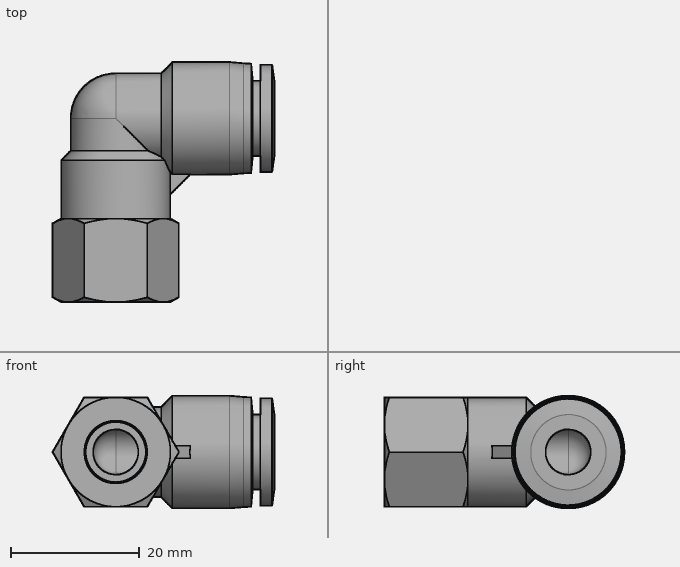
import cadquery as cq
import math


elbow_radius = 7.0
passage_radius = 3.5

collar_radius = 8.75
collar_start = 7.05
collar_cone = collar_radius - elbow_radius
taper_start = 17.62
rim_start = 19.75
rim_radius = 8.55
rim_end = 21.0
rim_end_radius = 8.5
collar_end = 21.27
neck_radius = 5.85
flange_start = 22.42
flange_radius = 8.35
flange_chamfer_start = 24.18
flange_chamfer = 0.1
tube_end = 24.62

hex_flats = 17.0
hex_corners = hex_flats / math.cos(math.radians(30))
sleeve_radius = hex_flats / 2
sleeve_start = 5.03
sleeve_cone = sleeve_radius - elbow_radius
hex_start = 15.55
thread_end = 28.5
hex_chamfer_angle = 30

socket_mouth_radius = 4.88
socket_end_radius = 4.65
socket_depth = 8.95

web_thickness = 1.95
web_reach = 11.5


def turned_tube_arm():
    """Collar, release neck and flange revolved about X; collar and flange end in shallow cones."""
    profile = [
        (0, 0),
        (0, elbow_radius),
        (collar_start, elbow_radius),
        (collar_start + collar_cone, collar_radius),
        (taper_start, collar_radius),
        (rim_start, rim_radius),
        (rim_end, rim_end_radius),
        (collar_end, neck_radius),
        (flange_start, neck_radius),
        (flange_start, flange_radius),
        (flange_chamfer_start, flange_radius),
        (flange_chamfer_start + flange_chamfer, flange_radius - flange_chamfer),
        (tube_end, neck_radius),
        (tube_end, 0),
    ]
    return cq.Workplane("XY").polyline(profile).close().revolve(360, (0, 0, 0), (1, 0, 0))


def revolve_about_y(profile):
    """Revolve (radius, distance along -Y) points about the Y axis."""
    points = [(radius, -distance) for radius, distance in profile]
    return cq.Workplane("XY").polyline(points).close().revolve(360, (0, 0, 0), (0, 1, 0))


def threaded_arm_sleeve():
    return revolve_about_y([
        (0, 0),
        (elbow_radius, 0),
        (elbow_radius, sleeve_start),
        (sleeve_radius, sleeve_start + sleeve_cone),
        (sleeve_radius, hex_start),
        (0, hex_start),
    ])


def hexagon():
    """Hexagon with corners on X, both ends trimmed by a shallow cone."""
    corner_radius = hex_corners / 2
    corner_drop = (corner_radius - sleeve_radius) * math.tan(math.radians(hex_chamfer_angle))
    prism = (
        cq.Workplane("XZ", origin=(0, -hex_start, 0))
        .polygon(6, hex_corners)
        .extrude(thread_end - hex_start)
    )
    envelope = revolve_about_y([
        (0, hex_start),
        (sleeve_radius, hex_start),
        (corner_radius, hex_start + corner_drop),
        (corner_radius, thread_end - corner_drop),
        (sleeve_radius, thread_end),
        (0, thread_end),
    ])
    return prism.intersect(envelope)


def corner_web():
    """45-degree triangular web, with its hidden corner buried inside both arms."""
    hypotenuse_sum = web_reach + collar_radius
    return (
        cq.Workplane("XY")
        .moveTo(elbow_radius, -elbow_radius)
        .lineTo(hypotenuse_sum - elbow_radius, -elbow_radius)
        .lineTo(elbow_radius, elbow_radius - hypotenuse_sum)
        .close()
        .extrude(web_thickness / 2, both=True)
    )


def flow_passage():
    """Round bores along both arms, joined by a ball, plus the tapered socket."""
    tube_bore = cq.Workplane("YZ").circle(passage_radius).extrude(tube_end)
    thread_bore = cq.Workplane("XZ").circle(passage_radius).extrude(thread_end)
    socket = revolve_about_y([
        (0, thread_end - socket_depth),
        (socket_end_radius, thread_end - socket_depth),
        (socket_mouth_radius, thread_end),
        (0, thread_end),
    ])
    ball = cq.Workplane("XY").sphere(passage_radius)
    return tube_bore.union(thread_bore).union(ball).union(socket)


body = cq.Workplane("XY").sphere(elbow_radius)
for piece in (turned_tube_arm(), threaded_arm_sleeve(), hexagon(), corner_web()):
    body = body.union(piece)

result = body.cut(flow_passage())